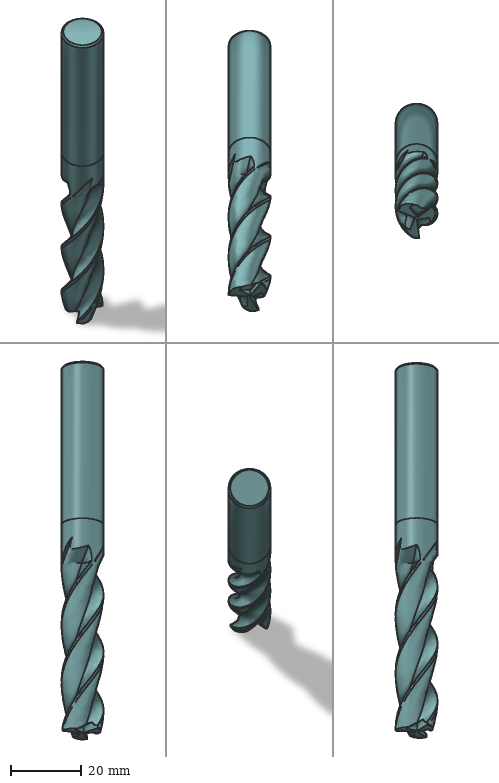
import cadquery as cq
import math

total_length = 110.0
radius = 6.0
cutter_length = 62.6
shank_chamfer = 0.5

flute_count = 3
pitch_angle = 360 / flute_count
flute_length = 50.0
helix_lead = 52.1
twist_angle = 360 * flute_length / helix_lead
first_land_angle = 60.0

half_land_angle = 4.5
flute_floor_angle = 85.0
flute_floor_radius = 2.9
heel_angle = 45.0
heel_radius = 4.7
rake_angle = 107.0
rake_radius = 3.8

runout_rise = 8.8
runout_outward = 5.5
runout_sideways = 4.2
clearance_radius = 8.8

corner_chamfer = 0.3
gash_depth = 2.4
gash_width = 3.7
gash_angle = 122.0
gash_start = 0.4


def polar(distance, angle):
    """Point at a distance from the axis, at an angle in degrees."""
    return (distance * math.cos(math.radians(angle)), distance * math.sin(math.radians(angle)))


def make_tooth_section():
    """Closed section with a narrow land, convex heel and concave rake face per tooth."""
    start = first_land_angle - half_land_angle
    section = cq.Workplane("XY").moveTo(*polar(radius, start))
    for tooth in range(flute_count):
        land = first_land_angle + tooth * pitch_angle
        next_land_start = land + pitch_angle - half_land_angle
        section = (
            section.threePointArc(polar(radius, land), polar(radius, land + half_land_angle))
            .threePointArc(
                polar(heel_radius, land + heel_angle),
                polar(flute_floor_radius, land + flute_floor_angle),
            )
            .threePointArc(polar(rake_radius, land + rake_angle), polar(radius, next_land_start))
        )
    return section.close()


def make_runout(land):
    """Oblique prism that continues the flute after one land out through the neck surface."""
    heel_edge = land + half_land_angle
    rake_edge = land + pitch_angle - half_land_angle
    middle = (heel_edge + rake_edge) / 2
    outline = (
        cq.Workplane("XY", origin=(0, 0, flute_length))
        .moveTo(*polar(radius, heel_edge))
        .threePointArc(
            polar(heel_radius, land + heel_angle),
            polar(flute_floor_radius, land + flute_floor_angle),
        )
        .threePointArc(polar(rake_radius, land + rake_angle), polar(radius, rake_edge))
        .lineTo(*polar(clearance_radius, rake_edge))
        .threePointArc(polar(clearance_radius, middle), polar(clearance_radius, heel_edge))
        .close()
    )
    floor = land + flute_floor_angle
    outward = cq.Vector(*polar(runout_outward, floor))
    sideways = cq.Vector(*polar(runout_sideways, floor + 90))
    direction = outward + sideways + cq.Vector(0, 0, runout_rise)
    return cq.Solid.extrudeLinear(outline.val(), [], direction)


def make_gash(land):
    """Triangular end notch that runs outward from near the axis in front of a cutting edge."""
    outline = (
        cq.Workplane("YZ")
        .polyline([(-gash_width, 0), (0, 0), (0, gash_depth)])
        .close()
        .extrude(radius)
    )
    return outline.translate((gash_start, 0, 0)).rotate((0, 0, 0), (0, 0, 1), land + gash_angle)


def make_corner_ring():
    """Triangular ring that bevels the outer corner of every tooth at the tip."""
    reach = 2 * corner_chamfer
    return (
        cq.Workplane("XZ")
        .polyline(
            [
                (radius - reach, -corner_chamfer),
                (radius + corner_chamfer, -corner_chamfer),
                (radius + corner_chamfer, reach),
            ]
        )
        .close()
        .revolve(360, (0, 0, 0), (0, 1, 0))
    )


def make_cutter():
    """Neck and helical fluted length in one solid."""
    fluted = make_tooth_section().twistExtrude(flute_length, twist_angle)
    fluted = fluted.cut(make_corner_ring())
    neck = (
        cq.Workplane("XY", origin=(0, 0, flute_length))
        .circle(radius)
        .extrude(cutter_length - flute_length)
    )
    for tooth in range(flute_count):
        land = first_land_angle + tooth * pitch_angle
        neck = neck.cut(cq.Workplane(make_runout(land + twist_angle)))
        fluted = fluted.cut(make_gash(land))
    return fluted.union(neck)


def make_shank():
    """Plain cylindrical shank with a chamfered top rim."""
    return (
        cq.Workplane("XY", origin=(0, 0, cutter_length))
        .circle(radius)
        .extrude(total_length - cutter_length)
        .faces(">Z")
        .chamfer(shank_chamfer)
    )


cutter = make_cutter()
shank = make_shank()
result = cq.Compound.makeCompound([cutter.val(), shank.val()])